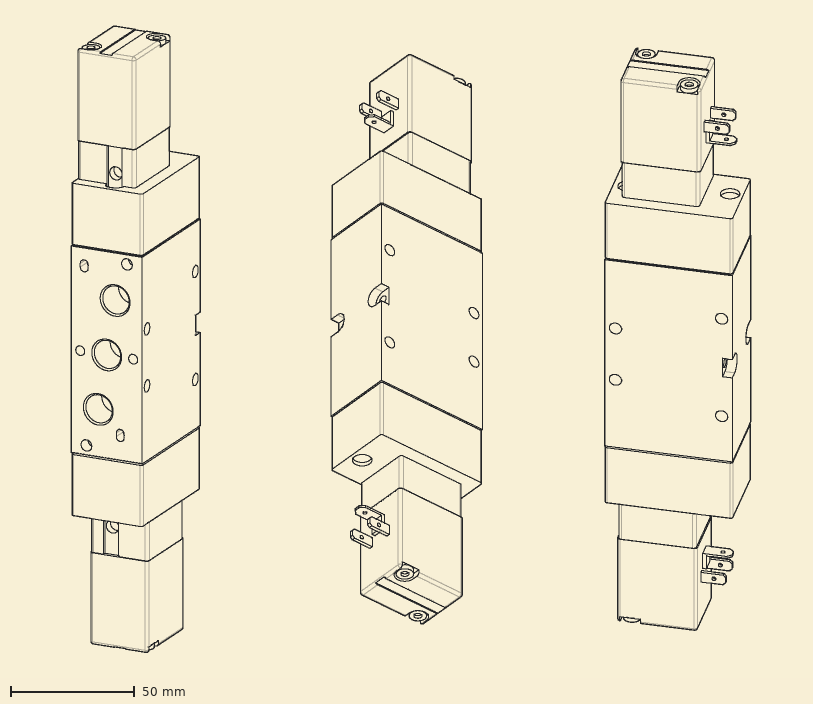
import cadquery as cq


total_length = 254.0
body_width = 32.0
body_depth = 53.0
body_length = 88.5
front_y = -body_depth / 2
back_y = body_depth / 2

port_pitch = 24.0
port_shift = 3.8
port_diameter = 12.0
port_mouth_diameter = 13.5
port_depth = 15.2

mount_hole_diameter = 4.0
mount_hole_x = 12.0
mount_notch_width = 8.6
mount_notch_depth = 4.0

cross_hole_diameter = 5.0
cross_hole_y = 22.0
cross_hole_front_z = 12.2
cross_hole_back_z = 23.0

pit_diameter = 4.8
pit_x = 9.1
pit_z = 40.1
pit_depth = 6.4
oval_width = 3.5
oval_height = 5.0
oval_centres = [(-10.2, 36.5), (6.0, -33.5)]

cap_top = 71.0
cap_corner_radius = 1.0
cap_joint_chamfer = 0.8
cap_pocket_diameter = 8.0
cap_pocket_depth = 1.8
cap_pocket_centres = [(1.0, -20.5), (-2.8, 21.0)]

solenoid_base = 87.6
solenoid_top = total_length / 2
solenoid_width = 26.2
solenoid_depth = 33.3
solenoid_edge_radius = 1.3
solenoid_x = (solenoid_width - body_width) / 2
solenoid_y = -4.8
solenoid_back_y = solenoid_y + solenoid_depth / 2
neck_width = 26.0
neck_depth = 32.3

neck_slot_width = 6.9
neck_slot_depth = 1.3
neck_slot_x = 0.8
override_hole_diameter = 5.5
override_hole_z = 75.7
override_hole_depth = 3.8

end_groove_width = 5.3
end_groove_depth = 0.5
end_groove_x = -3.0

screw_offset_x = 9.5
screw_offset_y = 11.2
screw_recess_diameter = 8.6
screw_recess_depth = 2.5
screw_head_diameter = 7.0
screw_head_height = 2.0
screw_socket_diameter = 3.3
screw_socket_depth = 1.3

tab_hole_diameter = 1.6
earth_tab_thickness = 1.0
earth_tab_width = 6.0
earth_tab_reach = 23.5
earth_tab_z = 96.3
earth_tab_hole_y = 19.5
earth_tip_chamfer = 1.8
earth_foot_top = 102.9
earth_foot_thickness = 1.5
contact_thickness = 1.5
contact_width = 4.5
contact_reach = 22.0
contact_z = 105.2
contact_spacing = 11.0
contact_hole_y = 17.3
contact_tip_chamfer = 1.0


def cylinder_along_y(x, z, start_y, diameter, length):
    """Cylinder that starts at start_y and runs toward +Y."""
    base = cq.Plane(origin=(x, start_y, z), xDir=(1, 0, 0), normal=(0, 1, 0))
    return cq.Workplane(base).circle(diameter / 2).extrude(length)


def box_between(low, high):
    """Box given by its lowest and highest corners."""
    size = [b - a for a, b in zip(low, high)]
    return cq.Workplane("XY").box(*size, centered=False).translate(low)


def make_port(x, z):
    """Cutter for one port: a blind bore with a 45 degree countersunk mouth."""
    bore_radius = port_diameter / 2
    mouth_radius = port_mouth_diameter / 2
    countersink_depth = mouth_radius - bore_radius
    half_section = [
        (0, 0),
        (mouth_radius, 0),
        (bore_radius, countersink_depth),
        (bore_radius, port_depth),
        (0, port_depth),
    ]
    cutter = cq.Workplane("XY").polyline(half_section).close().revolve(360, (0, 0, 0), (0, 1, 0))
    return cutter.translate((x, front_y, z))


def make_mount_notch(side):
    """Cutter for the round-ended notch around a mounting hole, open at the side face."""
    start_y = back_y - mount_notch_depth
    round_end = cylinder_along_y(side * mount_hole_x, 0, start_y, mount_notch_width, mount_notch_depth)
    half_width = mount_notch_width / 2
    inner_x, outer_x = sorted([side * mount_hole_x, side * body_width])
    return round_end.union(box_between((inner_x, start_y, -half_width), (outer_x, back_y, half_width)))


def make_body():
    body = cq.Workplane("XY").box(body_width, body_depth, body_length)

    for step in (-1, 0, 1):
        body = body.cut(make_port(step * port_shift, step * port_pitch))

    for side in (-1, 1):
        body = body.cut(cylinder_along_y(side * mount_hole_x, 0, front_y, mount_hole_diameter, body_depth))
        body = body.cut(make_mount_notch(side))
        body = body.cut(cylinder_along_y(side * pit_x, side * pit_z, front_y, pit_diameter, pit_depth))

    cross_holes = (
        cq.Workplane("YZ")
        .pushPoints([(-cross_hole_y, s * cross_hole_front_z) for s in (-1, 1)])
        .circle(cross_hole_diameter / 2)
        .pushPoints([(cross_hole_y, s * cross_hole_back_z) for s in (-1, 1)])
        .circle(cross_hole_diameter / 2)
        .extrude(body_width, both=True)
    )
    ovals = (
        cq.Workplane("XZ", origin=(0, front_y, 0))
        .pushPoints(oval_centres)
        .slot2D(oval_height, oval_width, 90)
        .extrude(-pit_depth)
    )
    return body.cut(cross_holes).cut(ovals)


def make_cap():
    base_z = body_length / 2
    height = cap_top - base_z
    cap = (
        cq.Workplane("XY", origin=(0, 0, base_z))
        .box(body_width, body_depth, height, centered=(True, True, False))
        .edges("|Z").fillet(cap_corner_radius)
        .faces("<Z").chamfer(cap_joint_chamfer)
    )
    pockets = (
        cq.Workplane("XY", origin=(0, 0, cap_top))
        .pushPoints(cap_pocket_centres)
        .circle(cap_pocket_diameter / 2)
        .extrude(-cap_pocket_depth)
    )
    return cap.cut(pockets)


def make_neck():
    """Neck between cap and solenoid; it also closes the part of the cap pockets below it."""
    base_z = cap_top - cap_pocket_depth
    neck = (
        cq.Workplane("XY", origin=(solenoid_x, solenoid_y, base_z))
        .box(neck_width, neck_depth, solenoid_base - base_z, centered=(True, True, False))
        .edges("|Z").fillet(solenoid_edge_radius)
    )
    neck_front_y = solenoid_y - neck_depth / 2
    slot_floor_y = neck_front_y + neck_slot_depth
    slot = box_between(
        (neck_slot_x - neck_slot_width / 2, neck_front_y, base_z),
        (neck_slot_x + neck_slot_width / 2, slot_floor_y, solenoid_base),
    )
    override_hole = cylinder_along_y(
        neck_slot_x, override_hole_z, slot_floor_y, override_hole_diameter, override_hole_depth
    )
    return neck.cut(slot).cut(override_hole)


def screw_seat(side):
    """Workplane on the floor of a screw recess, centred on the screw."""
    return cq.Workplane(
        "XY",
        origin=(
            solenoid_x + side * screw_offset_x,
            solenoid_y + side * screw_offset_y,
            solenoid_top - screw_recess_depth,
        ),
    )


def make_screw_recess(side):
    """Cutter for the round-ended recess around a screw, open at the nearest X side."""
    round_end = screw_seat(side).circle(screw_recess_diameter / 2).extrude(screw_recess_depth)
    opening = (
        screw_seat(side)
        .center(side * screw_recess_diameter / 2, 0)
        .rect(screw_recess_diameter, screw_recess_diameter)
        .extrude(screw_recess_depth)
    )
    return round_end.union(opening)


def make_screw_head(side):
    return (
        screw_seat(side).circle(screw_head_diameter / 2).extrude(screw_head_height)
        .faces(">Z").workplane().hole(screw_socket_diameter, screw_socket_depth)
    )


def make_solenoid():
    solenoid = (
        cq.Workplane("XY", origin=(solenoid_x, solenoid_y, solenoid_base))
        .box(solenoid_width, solenoid_depth, solenoid_top - solenoid_base, centered=(True, True, False))
        .edges("|Z or >Z").fillet(solenoid_edge_radius)
    )
    end_groove = box_between(
        (end_groove_x - end_groove_width / 2, -body_depth, solenoid_top - end_groove_depth),
        (end_groove_x + end_groove_width / 2, body_depth, solenoid_top),
    )
    solenoid = solenoid.cut(end_groove)

    for side in (-1, 1):
        solenoid = solenoid.cut(make_screw_recess(side)).union(make_screw_head(side))
    return solenoid


def make_earth_tab():
    half_width = earth_tab_width / 2
    low_z = earth_tab_z - earth_tab_thickness / 2
    blade = box_between(
        (solenoid_x - half_width, solenoid_back_y, low_z),
        (solenoid_x + half_width, earth_tab_reach, low_z + earth_tab_thickness),
    )
    blade = blade.edges("|Z and >Y").chamfer(earth_tip_chamfer)
    hole = (
        cq.Workplane("XY", origin=(solenoid_x, earth_tab_hole_y, low_z))
        .circle(tab_hole_diameter / 2)
        .extrude(earth_tab_thickness)
    )
    foot = box_between(
        (solenoid_x - half_width, solenoid_back_y, low_z),
        (solenoid_x + half_width, solenoid_back_y + earth_foot_thickness, earth_foot_top),
    )
    return blade.cut(hole).union(foot)


def make_contact(side):
    low_x = solenoid_x + side * contact_spacing / 2 - contact_thickness / 2
    half_width = contact_width / 2
    blade = box_between(
        (low_x, solenoid_back_y, contact_z - half_width),
        (low_x + contact_thickness, contact_reach, contact_z + half_width),
    )
    blade = blade.edges("|X and >Y").chamfer(contact_tip_chamfer)
    hole = (
        cq.Workplane("YZ", origin=(low_x, contact_hole_y, contact_z))
        .circle(tab_hole_diameter / 2)
        .extrude(contact_thickness)
    )
    return blade.cut(hole)


def make_pilot(turn):
    """Pilot unit at the upper end, turned about the Y axis by the given angle."""
    pilot = make_cap().union(make_neck()).union(make_solenoid()).union(make_earth_tab())
    for side in (-1, 1):
        pilot = pilot.union(make_contact(side))
    return pilot.rotate((0, 0, 0), (0, 1, 0), turn)


valve_body = make_body()
pilots = [make_pilot(turn) for turn in (0, 180)]

result = cq.Compound.makeCompound([valve_body.val(), *[pilot.val() for pilot in pilots]])